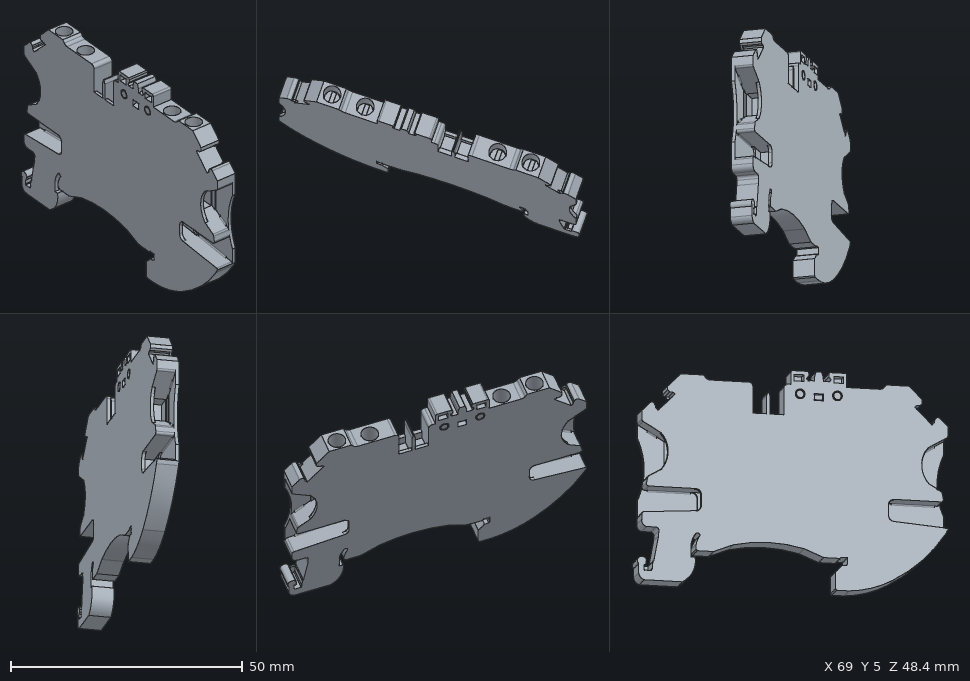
import cadquery as cq
import math


LENGTH = 69.0
THICKNESS = 5.0
HALF_WIDTH = 34.0
DECK_Z = 45.25
PLATEAU_Z = 46.3
DECK_END_X = 19.4
DECK_END_ROUND = 1.25
TOP_Z = 48.35
WEB_THICKNESS = 0.5

LIP_START = (31.1, 39.2)
LIP_MIDDLE = (31.7, 39.7)
LIP_END = (32.2, 39.45)
END_FACE_TOP = (HALF_WIDTH, 37.75)

GRIP_TOP_Z = 32.35
GRIP_BOTTOM_Z = 18.55
GRIP_DEPTH = 1.5

GAP_LEFT = -9.3
GAP_RIGHT = -2.5
GAP_FLOOR_Z = 38.4
GAP_ROUND = 0.9
FIN_LEFT = -6.3
FIN_RIGHT = -5.5
FIN_SHOULDER_Z = 42.4
FIN_TOP_Z = 43.3
FIN_TIP_WIDTH = 0.2
GAP_GROOVE_FRONT = 0.75
GAP_GROOVE_BACK = 4.0
GAP_GROOVE_DEPTH = 2.1

HOLDER_X = 5.3
HOLDER_HALF = 6.2
HOLDER_ROUND = 0.4
HOLDER_SLOT_Z = PLATEAU_Z
WINDOW_OFFSET = 4.4
WINDOW_WIDTH = 2.15
WINDOW_HEIGHT = 1.45
WINDOW_Z = 46.8
WINDOW_DEPTH = 2.1

PLUG_OFFSET = 4.15
PLUG_Z = 43.25
PLUG_HOLE_DIAMETER = 2.1
PLUG_DIAMETER = 1.7
PLUG_GROOVE_DEPTH = 0.35
LATCH_WIDTH = 2.0
LATCH_TOP_Z = 43.45
LATCH_MOUTH_Z = 41.95
LATCH_FLOOR_Z = 42.35
LATCH_DEPTH = 1.05

SCREW_XS = (15.2, 22.8)
SCREW_Y = 2.3
WELL_DIAMETER = 3.8
WELL_DEPTH = 5.5
SCREW_DIAMETER = 3.5
SCREW_HEAD_HEIGHT = 1.05
DRIVER_SLOT_WIDTH = 1.0
DRIVER_SLOT_DEPTH = 0.7

POCKET_DEPTH = 4.15
POCKET_FLOOR_ROUND = 0.3
FLOOR_ROUND_END_X = 31.9
CAVITY_FRONT = 0.75
CAVITY_BACK = 3.7
MOUTH_ROUND = 0.55
LOWER_RIGHT_ROUND = 0.3
LOWEST_LIP_Z = 14.8

FUNNEL_Z = 28.85
FUNNEL_ANGLE = 30.0
FUNNEL_CORNER_X = 29.75
FUNNEL_CORNER_HALF = 4.1
FUNNEL_END_X = 28.15
FUNNEL_THROAT_X = 27.05
FUNNEL_THROAT_BACK = 3.9
FUNNEL_CAVITY_X = 23.45

CHANNEL_TOP_Z = 20.9
CHANNEL_END_X = 20.8
CHANNEL_END_BOTTOM_Z = 16.1
CHANNEL_ANGLE = 4.2
CHANNEL_END_ROUND = 1.3
CHANNEL_STRAIGHT_X = 22.3
CHANNEL_CAVITY_X = 17.25

PICK_MARGIN = 0.1
OVERSHOOT = 3.45

RAIL_X = -5.85
RAIL_FACE_Z = 7.1
RAIL_FACE_HALF = 12.2
RAIL_ARC_HALF = 7.85
RAIL_ARC_Z = 8.8
RAIL_ARC_TOP_Z = 9.8

HOOK_X = -33.95
HOOK_Z = 4.2
HOOK_RADIUS = LENGTH - HALF_WIDTH + HOOK_X


def prism(sketch, start, end):
    """Extrude a closed XZ outline between two Y positions."""
    return sketch.extrude(-(end - start)).translate((0, start, 0))


def xz():
    """Sketch plane of the outline."""
    return cq.Workplane("XZ")


def mirrored(shape):
    """A shape together with its copy on the other side of X = 0."""
    return shape.union(shape.mirror("YZ"))


def shoulder_points():
    """Right upper shoulder, from the deck out to the inner side of its lip."""
    return [
        (DECK_END_X, DECK_Z),
        (20.3, PLATEAU_Z),
        (25.4, PLATEAU_Z),
        (28.3, 43.4),
        (28.3, 42.5),
        (27.8, 42.1),
        (27.05, 42.0),
        (26.6, 41.7),
        (30.4, 37.95),
        (30.9, 38.5),
        (30.9, 38.9),
    ]


def opposite(point):
    """The matching outline point on the left side."""
    return (-point[0], point[1])


def housing():
    """Full outline, drawn clockwise from the top of the left end face."""
    grip_x = HALF_WIDTH - GRIP_DEPTH
    grip_z = (GRIP_TOP_Z + GRIP_BOTTOM_Z) / 2
    shoulder = shoulder_points()

    outline = xz().moveTo(*opposite(END_FACE_TOP)).lineTo(*opposite(LIP_END))
    outline = outline.threePointArc(opposite(LIP_MIDDLE), opposite(LIP_START))
    for point in reversed(shoulder):
        outline = outline.lineTo(*opposite(point))
    for point in shoulder:
        outline = outline.lineTo(*point)
    outline = (
        outline.lineTo(*LIP_START)
        .threePointArc(LIP_MIDDLE, LIP_END)
        .lineTo(*END_FACE_TOP)
        .lineTo(HALF_WIDTH, GRIP_TOP_Z)
        .threePointArc((grip_x, grip_z), (HALF_WIDTH, GRIP_BOTTOM_Z))
        .lineTo(HALF_WIDTH, 14.75)
        .lineTo(33.5, 13.9)
        .threePointArc((28.3, 7.65), (21.7, 2.9))
        .threePointArc((17.05, 0.9), (12.0, 0))
        .lineTo(9.25, 0)
        .lineTo(9.0, 0.3)
        .lineTo(9.0, 4.15)
        .lineTo(10.4, 5.6)
        .lineTo(11.4, 5.65)
        .lineTo(11.65, 5.9)
        .lineTo(11.65, 7.4)
        .lineTo(10.3, 7.4)
        .lineTo(10.0, RAIL_FACE_Z)
        .lineTo(RAIL_X + RAIL_FACE_HALF, RAIL_FACE_Z)
        .lineTo(RAIL_X + RAIL_ARC_HALF, RAIL_ARC_Z)
        .threePointArc((RAIL_X, RAIL_ARC_TOP_Z), (RAIL_X - RAIL_ARC_HALF, RAIL_ARC_Z))
        .lineTo(RAIL_X - RAIL_FACE_HALF, RAIL_FACE_Z)
        .lineTo(-21.65, RAIL_FACE_Z)
        .lineTo(-21.95, 7.4)
        .lineTo(-21.95, 8.5)
        .threePointArc((-21.65, 9.45), (-21.1, 10.5))
        .threePointArc((-21.6, 11.05), (-22.15, 10.6))
        .threePointArc((-22.8, 9.45), (-23.05, 8.2))
        .lineTo(-23.05, 5.7)
        .lineTo(-22.15, 5.7)
        .threePointArc((-22.9, 1.85), (-25.0, 0))
        .lineTo(-33.45, 0)
        .threePointArc((-34.3, 0.55), (-34.7, 1.45))
        .lineTo(-34.7, HOOK_Z)
        .lineTo(HOOK_X, HOOK_Z)
        .lineTo(-32.4, 4.15)
        .lineTo(-31.5, 4.15)
        .lineTo(-31.3, 4.4)
        .lineTo(-30.3, 9.9)
        .lineTo(-30.2, 11.05)
        .threePointArc((-30.4, 11.65), (-30.9, 11.9))
        .lineTo(-32.9, 11.9)
        .threePointArc((-33.7, 12.3), (-HALF_WIDTH, 13.4))
        .lineTo(-HALF_WIDTH, GRIP_BOTTOM_Z)
        .threePointArc((-grip_x, grip_z), (-HALF_WIDTH, GRIP_TOP_Z))
        .close()
    )
    hook_tip = xz().center(HOOK_X, HOOK_Z).circle(HOOK_RADIUS)
    return prism(outline, 0, THICKNESS).union(prism(hook_tip, 0, THICKNESS))


def hook_recess():
    """Undercut behind the hook tip, closed by a skin at the back."""
    outline = xz().polyline([
        (-31.5, 4.3),
        (-31.7, 2.6),
        (-31.9, 2.15),
        (-33.3, 2.15),
        (-33.45, 2.35),
        (-33.45, 3.3),
        (-33.0, 3.65),
        (-33.0, 4.3),
    ]).close()
    return prism(outline, 0, THICKNESS - WEB_THICKNESS)


def shoulder_webs():
    """Thin skins that close both corner grooves of each shoulder recess."""
    upper = xz().polyline([(27.8, 42.1), (27.05, 42.0), (26.6, 41.7), (27.05, 41.25)]).close()
    lower = xz().polyline([(30.9, 38.9), (30.9, 38.5), (30.4, 37.95), (29.8, 38.55), (30.2, 38.9)]).close()
    start = THICKNESS - WEB_THICKNESS
    return mirrored(prism(upper, start, THICKNESS).union(prism(lower, start, THICKNESS)))


def bridge_gap():
    """Gap in the deck, including a deeper groove along the middle of its floor."""
    width = GAP_RIGHT - GAP_LEFT
    centre = (GAP_RIGHT + GAP_LEFT) / 2
    height = DECK_Z - GAP_FLOOR_Z
    slot = (
        cq.Workplane("XY", origin=(centre, THICKNESS / 2, GAP_FLOOR_Z))
        .rect(width, THICKNESS)
        .extrude(height)
    )
    groove_width = GAP_GROOVE_BACK - GAP_GROOVE_FRONT
    groove = (
        cq.Workplane("XY", origin=(centre, GAP_GROOVE_FRONT + groove_width / 2, GAP_FLOOR_Z))
        .rect(width, groove_width)
        .extrude(-GAP_GROOVE_DEPTH)
    )
    return slot.union(groove)


def fin():
    """Thin pointed wall standing in the bridge gap."""
    middle = (FIN_LEFT + FIN_RIGHT) / 2
    base_z = GAP_FLOOR_Z - GAP_GROOVE_DEPTH
    outline = xz().polyline([
        (FIN_LEFT, base_z),
        (FIN_LEFT, FIN_SHOULDER_Z),
        (middle - FIN_TIP_WIDTH / 2, FIN_TOP_Z),
        (middle + FIN_TIP_WIDTH / 2, FIN_TOP_Z),
        (FIN_RIGHT, FIN_SHOULDER_Z),
        (FIN_RIGHT, base_z),
    ]).close()
    return prism(outline, 0, THICKNESS)


def marker_holder():
    """Block with two undercut slots on either side of a tapered tongue."""
    block = xz().center(HOLDER_X, (DECK_Z + TOP_Z) / 2).rect(2 * HOLDER_HALF, TOP_Z - DECK_Z)
    holder = prism(block, 0, THICKNESS).edges("|Y and >Z").fillet(HOLDER_ROUND)
    slot_side = [
        (0.6, TOP_Z),
        (1.0, 47.3),
        (1.05, HOLDER_SLOT_Z),
        (2.35, HOLDER_SLOT_Z),
        (2.7, 46.7),
        (2.2, 47.3),
        (2.2, 48.0),
        (2.4, TOP_Z),
    ]
    window = (
        xz().pushPoints([(HOLDER_X - WINDOW_OFFSET, WINDOW_Z), (HOLDER_X + WINDOW_OFFSET, WINDOW_Z)])
        .rect(WINDOW_WIDTH, WINDOW_HEIGHT)
    )
    holder = holder.cut(prism(window, 0, WINDOW_DEPTH))
    for side in (-1, 1):
        slot = xz().polyline([(HOLDER_X + side * x, z) for x, z in slot_side]).close()
        holder = holder.cut(prism(slot, 0, THICKNESS))
    return holder


def plug_grooves():
    """Narrow rings that set off two round plugs in the pocket face."""
    centres = [(HOLDER_X - PLUG_OFFSET, PLUG_Z), (HOLDER_X + PLUG_OFFSET, PLUG_Z)]
    hole = xz().pushPoints(centres).circle(PLUG_HOLE_DIAMETER / 2)
    plug = xz().pushPoints(centres).circle(PLUG_DIAMETER / 2)
    return prism(hole, 0, PLUG_GROOVE_DEPTH).cut(prism(plug, 0, PLUG_GROOVE_DEPTH))


def latch_recess():
    """Small recess whose floor ramps up towards the inside."""
    return (
        cq.Workplane("YZ", origin=(HOLDER_X - LATCH_WIDTH / 2, 0, 0))
        .polyline([
            (0, LATCH_TOP_Z),
            (0, LATCH_MOUTH_Z),
            (LATCH_DEPTH, LATCH_FLOOR_Z),
            (LATCH_DEPTH, LATCH_TOP_Z),
        ])
        .close()
        .extrude(LATCH_WIDTH)
    )


def screw_well(x, top_z):
    """Round well with a slotted screw head standing on its floor."""
    floor = cq.Workplane("XY", origin=(x, SCREW_Y, top_z - WELL_DEPTH))
    well = floor.circle(WELL_DIAMETER / 2).extrude(WELL_DEPTH)
    head = floor.circle(SCREW_DIAMETER / 2).extrude(SCREW_HEAD_HEIGHT)
    slot = (
        floor.workplane(offset=SCREW_HEAD_HEIGHT - DRIVER_SLOT_DEPTH)
        .rect(DRIVER_SLOT_WIDTH, SCREW_DIAMETER)
        .extrude(DRIVER_SLOT_DEPTH)
    )
    return well.cut(head.cut(slot))


def round_floor_sides(pocket):
    """Round the long floor edges of a pocket, leaving the mouth sharp."""
    rounded = pocket.edges(">Y").edges("%LINE").edges("not |Z").fillet(POCKET_FLOOR_ROUND)
    inner_half = cq.Workplane("XY").box(2 * FLOOR_ROUND_END_X, 2 * THICKNESS, 2 * TOP_Z)
    return rounded.union(pocket.cut(inner_half))


def funnel():
    """Wedge-shaped wire entry on the right end with a deeper inner cavity."""
    slope = math.tan(math.radians(FUNNEL_ANGLE))
    outer_x = HALF_WIDTH + OVERSHOOT

    def half_height(x):
        return FUNNEL_CORNER_HALF + (x - FUNNEL_CORNER_X) * slope

    pocket = (
        xz().moveTo(outer_x, FUNNEL_Z + half_height(outer_x))
        .lineTo(FUNNEL_CORNER_X, FUNNEL_Z + FUNNEL_CORNER_HALF)
        .threePointArc((FUNNEL_END_X, FUNNEL_Z), (FUNNEL_CORNER_X, FUNNEL_Z - FUNNEL_CORNER_HALF))
        .lineTo(outer_x, FUNNEL_Z - half_height(outer_x))
        .close()
    )

    def taper(start_x, end_x, back):
        outline = xz().polyline([
            (start_x, FUNNEL_Z + half_height(start_x)),
            (end_x, FUNNEL_Z + half_height(end_x)),
            (end_x, FUNNEL_Z - half_height(end_x)),
            (start_x, FUNNEL_Z - half_height(start_x)),
        ]).close()
        return prism(outline, CAVITY_FRONT, back)

    cavity = (
        xz().center((FUNNEL_THROAT_X + FUNNEL_CAVITY_X) / 2, FUNNEL_Z)
        .rect(FUNNEL_THROAT_X - FUNNEL_CAVITY_X, 2 * half_height(FUNNEL_THROAT_X))
    )
    return (
        round_floor_sides(prism(pocket, 0, POCKET_DEPTH))
        .union(taper(FUNNEL_CORNER_X, FUNNEL_END_X, POCKET_DEPTH))
        .union(taper(FUNNEL_END_X, FUNNEL_THROAT_X, FUNNEL_THROAT_BACK))
        .union(prism(cavity, CAVITY_FRONT, CAVITY_BACK))
    )


def channel():
    """Long tapered channel on the right end with a deeper inner cavity."""
    outer_x = HALF_WIDTH + OVERSHOOT
    inner_x = CHANNEL_STRAIGHT_X
    slope = math.tan(math.radians(CHANNEL_ANGLE))

    def stretch(start_x, end_x, front, back):
        outline = xz().polyline([
            (start_x, CHANNEL_TOP_Z),
            (end_x, CHANNEL_TOP_Z),
            (end_x, CHANNEL_END_BOTTOM_Z - (end_x - CHANNEL_END_X) * slope),
            (start_x, CHANNEL_END_BOTTOM_Z - (start_x - CHANNEL_END_X) * slope),
        ]).close()
        return prism(outline, front, back)

    straight = round_floor_sides(stretch(inner_x, outer_x, 0, POCKET_DEPTH))
    rounded_end = (
        stretch(CHANNEL_END_X, inner_x, 0, POCKET_DEPTH)
        .edges("|Y and <X")
        .fillet(CHANNEL_END_ROUND)
    )
    cavity = stretch(CHANNEL_CAVITY_X, inner_x, CAVITY_FRONT, CAVITY_BACK)
    return straight.union(rounded_end).union(cavity)


def round_deck_corner(body, x, radius):
    """Round the corner of the outline that lies at this X on the deck."""
    corner = cq.selectors.BoxSelector(
        (x - PICK_MARGIN, 0, DECK_Z - PICK_MARGIN),
        (x + PICK_MARGIN, THICKNESS, DECK_Z + PICK_MARGIN),
    )
    return body.edges("|Y").edges(corner).fillet(radius)


def round_lips(body, left_x, bottom_z, top_z, radius):
    """Round the pocket lips on one end face within a height range."""
    middle_y = POCKET_DEPTH / 2
    lips = cq.selectors.BoxSelector(
        (left_x - PICK_MARGIN, middle_y - PICK_MARGIN, bottom_z),
        (left_x + GRIP_DEPTH + PICK_MARGIN, middle_y + PICK_MARGIN, top_z),
    )
    return body.edges("|Y").edges(lips).fillet(radius)


body = housing().union(shoulder_webs()).cut(hook_recess())
body = body.cut(bridge_gap())
for corner_x in (GAP_LEFT, GAP_RIGHT):
    body = round_deck_corner(body, corner_x, GAP_ROUND)
for corner_x in (-DECK_END_X, DECK_END_X):
    body = round_deck_corner(body, corner_x, DECK_END_ROUND)

for pocket in (funnel(), channel()):
    body = body.cut(mirrored(pocket))
left_grip_x = -HALF_WIDTH
right_grip_x = HALF_WIDTH - GRIP_DEPTH
body = round_lips(body, left_grip_x, LOWEST_LIP_Z, END_FACE_TOP[1], MOUTH_ROUND)
body = round_lips(body, right_grip_x, GRIP_BOTTOM_Z, END_FACE_TOP[1], MOUTH_ROUND)
body = round_lips(body, right_grip_x, LOWEST_LIP_Z, GRIP_BOTTOM_Z, LOWER_RIGHT_ROUND)

for screw_x, top_z in zip(SCREW_XS, (DECK_Z, PLATEAU_Z)):
    body = body.cut(mirrored(screw_well(screw_x, top_z)))

body = body.union(fin()).union(marker_holder())
result = body.cut(plug_grooves()).cut(latch_recess())